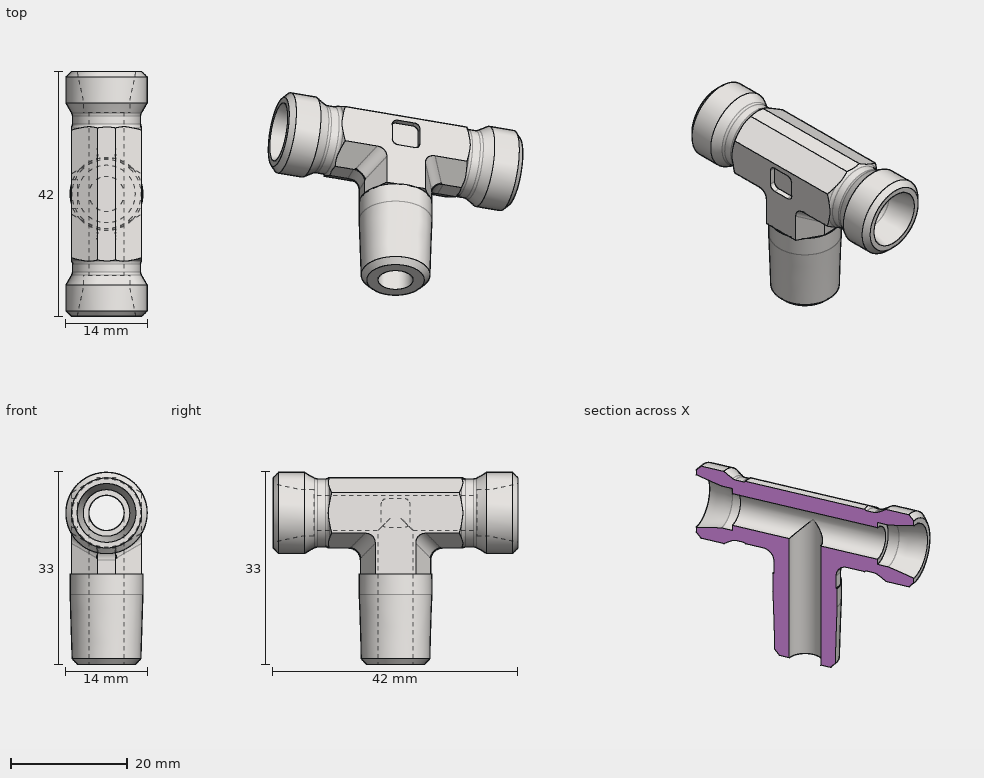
import cadquery as cq
import math

run_half_length = 21.0
overall_height = 33.0

half_across_flats = 6.0
half_over_cut_corners = 6.05
junction_fillet = 2.0

thread_diameter = 14.0
branch_end_depth = overall_height - thread_diameter / 2
end_face_radius = 6.0
end_chamfer_length = 0.95
thread_inner_end = 15.62
neck_diameter = 11.7
neck_inner_end = 11.55
body_neck_fillet = 0.75
thread_flank_angle = 30.0
thread_neck_fillet = 1.0
body_chamfer_angle = 60.0

bore_diameter = 6.0
tube_socket_diameter = 8.0
tube_socket_depth = 7.0
cone_mouth_diameter = 10.1
cone_half_angle = 12.0

collar_diameter = 12.5
collar_top = -10.45
taper_top = -14.0
taper_bottom = -25.0
taper_on_diameter = 1 / 16
stud_tip_diameter = 9.85

panel_size = 4.95
panel_corner_radius = 1.0
panel_depth = 1.0

pick_margin = 0.05


def cut_corner_hexagon(plane):
    """Hexagon with vertical flats at +-X whose two remaining corners are cut flat."""
    slope = math.tan(math.radians(30))
    corner = half_across_flats * slope
    cut_half_width = (2 * corner - half_over_cut_corners) / slope
    return cq.Workplane(plane).polyline([
        (half_across_flats, -corner),
        (half_across_flats, corner),
        (cut_half_width, half_over_cut_corners),
        (-cut_half_width, half_over_cut_corners),
        (-half_across_flats, corner),
        (-half_across_flats, -corner),
        (-cut_half_width, -half_over_cut_corners),
        (cut_half_width, -half_over_cut_corners),
    ]).close()


def make_run_bar():
    """Hexagonal run, its ends turned to a cone that blends into the neck with a fillet."""
    neck_radius = neck_diameter / 2
    blank_radius = 2 * half_across_flats
    slope = math.radians(body_chamfer_angle)
    cone_start = neck_inner_end - (blank_radius - neck_radius) / math.tan(slope)
    tangent_length = body_neck_fillet * math.tan(slope / 2)
    bar_half_length = neck_inner_end + tangent_length
    fillet_outer_radius = neck_radius + tangent_length * math.sin(slope)
    fillet_outer_y = neck_inner_end - tangent_length * math.cos(slope)
    fillet_middle_radius = neck_radius + body_neck_fillet * (1 - math.cos(slope / 2))
    fillet_middle_y = bar_half_length - body_neck_fillet * math.sin(slope / 2)

    bar = cut_corner_hexagon("XZ").extrude(bar_half_length, both=True)
    half_envelope = (
        cq.Workplane("XY")
        .lineTo(blank_radius, 0)
        .lineTo(blank_radius, cone_start)
        .lineTo(fillet_outer_radius, fillet_outer_y)
        .threePointArc((fillet_middle_radius, fillet_middle_y), (neck_radius, bar_half_length))
        .lineTo(0, bar_half_length)
        .close()
        .revolve(360, (0, 0, 0), (0, 1, 0))
    )
    return bar.intersect(half_envelope.union(half_envelope.mirror("XZ")))


def make_body():
    """Run and branch bars joined, with the inner corners between them rounded."""
    branch = cut_corner_hexagon("XY").extrude(collar_top)
    body = make_run_bar().union(branch)
    reach = half_over_cut_corners + pick_margin
    corner_zone = cq.selectors.BoxSelector(
        (-reach, -reach, -reach), (reach, reach, 0), boundingbox=True
    )
    return body.edges(corner_zone).fillet(junction_fillet)


def make_tube_end():
    """Threaded end with its neck, on the +Y side."""
    neck_radius = neck_diameter / 2
    thread_radius = thread_diameter / 2
    flank_length = (thread_radius - neck_radius) / math.tan(math.radians(thread_flank_angle))
    neck_outer_end = thread_inner_end - flank_length
    neck_corner = cq.selectors.BoxSelector(
        (-thread_radius, neck_outer_end - pick_margin, -thread_radius),
        (thread_radius, neck_outer_end + pick_margin, thread_radius),
        boundingbox=True,
    )
    return (
        cq.Workplane("XY")
        .moveTo(0, neck_inner_end)
        .lineTo(neck_radius, neck_inner_end)
        .lineTo(neck_radius, neck_outer_end)
        .lineTo(thread_radius, thread_inner_end)
        .lineTo(thread_radius, run_half_length - end_chamfer_length)
        .lineTo(end_face_radius, run_half_length)
        .lineTo(0, run_half_length)
        .close()
        .revolve(360, (0, 0, 0), (0, 1, 0))
        .edges(neck_corner)
        .fillet(thread_neck_fillet)
    )


def make_tube_socket():
    """Conical mouth narrowing to the tube socket, on the +Y side."""
    mouth_radius = cone_mouth_diameter / 2
    socket_radius = tube_socket_diameter / 2
    cone_length = (mouth_radius - socket_radius) / math.tan(math.radians(cone_half_angle))
    return (
        cq.Workplane("XY")
        .moveTo(0, run_half_length)
        .lineTo(mouth_radius, run_half_length)
        .lineTo(socket_radius, run_half_length - cone_length)
        .lineTo(socket_radius, run_half_length - tube_socket_depth)
        .lineTo(0, run_half_length - tube_socket_depth)
        .close()
        .revolve(360, (0, 0, 0), (0, 1, 0))
    )


def make_stud():
    """Collar followed by the tapered thread and its end chamfer."""
    collar_radius = collar_diameter / 2
    taper_end_radius = collar_radius - (taper_top - taper_bottom) * taper_on_diameter / 2
    return (
        cq.Workplane("XZ")
        .moveTo(0, collar_top)
        .lineTo(collar_radius, collar_top)
        .lineTo(collar_radius, taper_top)
        .lineTo(taper_end_radius, taper_bottom)
        .lineTo(stud_tip_diameter / 2, -branch_end_depth)
        .lineTo(0, -branch_end_depth)
        .close()
        .revolve(360, (0, 0, 0), (0, 1, 0))
    )


def make_panel():
    """Rounded square recess in the -X flat."""
    return (
        cq.Workplane("YZ")
        .workplane(offset=-half_across_flats)
        .rect(panel_size, panel_size)
        .extrude(panel_depth)
        .edges("|X")
        .fillet(panel_corner_radius)
    )


result = make_body()

tube_end = make_tube_end()
result = result.union(tube_end).union(tube_end.mirror("XZ"))
result = result.union(make_stud())

run_bore = cq.Workplane("XZ").circle(bore_diameter / 2).extrude(run_half_length, both=True)
branch_bore = cq.Workplane("XY").circle(bore_diameter / 2).extrude(-branch_end_depth)
result = result.cut(run_bore).cut(branch_bore)

tube_socket = make_tube_socket()
result = result.cut(tube_socket).cut(tube_socket.mirror("XZ"))

result = result.cut(make_panel())